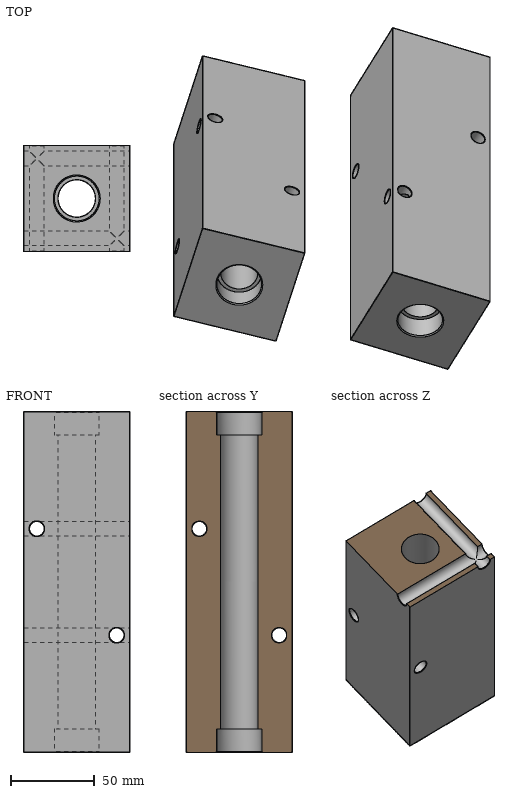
import cadquery as cq

block_width = 63.5
block_height = 203.2
edge_chamfer = 0.2

bore_diameter = 22.1
counterbore_diameter = 26.6
counterbore_depth = 14.0
counterbore_chamfer = 0.71

cross_hole_diameter = 8.7
cross_hole_chamfer = 0.3
cross_hole_offset = 23.8
cross_hole_height = 31.7


def make_block():
    block = cq.Workplane("XY").box(block_width, block_width, block_height)
    return block.edges().chamfer(edge_chamfer)


def make_bore():
    """Solid of revolution about Z that hollows out the bore and both counterbores."""
    half_height = block_height / 2
    bore_radius = bore_diameter / 2
    counterbore_radius = counterbore_diameter / 2
    mouth_radius = counterbore_radius + counterbore_chamfer
    ledge = half_height - counterbore_depth
    chamfer_end = half_height - counterbore_chamfer
    upper_half = (
        cq.Workplane("XZ")
        .moveTo(0, 0)
        .lineTo(bore_radius, 0)
        .lineTo(bore_radius, ledge)
        .lineTo(counterbore_radius, ledge)
        .lineTo(counterbore_radius, chamfer_end)
        .lineTo(mouth_radius, half_height)
        .lineTo(0, half_height)
        .close()
        .revolve(360, (0, 0, 0), (0, 1, 0))
    )
    return upper_half.union(upper_half.mirror("XY"))


def make_cross_holes(plane, upper_side):
    """Two diagonally opposite pins, flared at both ends to chamfer the hole mouths.

    upper_side is the sign of the upper pin's sideways offset.
    """
    half_width = block_width / 2
    hole_radius = cross_hole_diameter / 2
    mouth_radius = hole_radius + cross_hole_chamfer
    chamfer_start = half_width - cross_hole_chamfer
    pin = (
        cq.Workplane("XZ")
        .moveTo(0, -half_width)
        .lineTo(mouth_radius, -half_width)
        .lineTo(hole_radius, -chamfer_start)
        .lineTo(hole_radius, chamfer_start)
        .lineTo(mouth_radius, half_width)
        .lineTo(0, half_width)
        .close()
        .revolve(360, (0, 0, 0), (0, 1, 0))
        .val()
    )
    sideways = upper_side * cross_hole_offset
    return (
        cq.Workplane(plane)
        .pushPoints([(sideways, cross_hole_height), (-sideways, -cross_hole_height)])
        .eachpoint(pin, useLocalCoordinates=True)
    )


result = (
    make_block()
    .cut(make_bore())
    .cut(make_cross_holes("XZ", -1))
    .cut(make_cross_holes("YZ", 1))
)